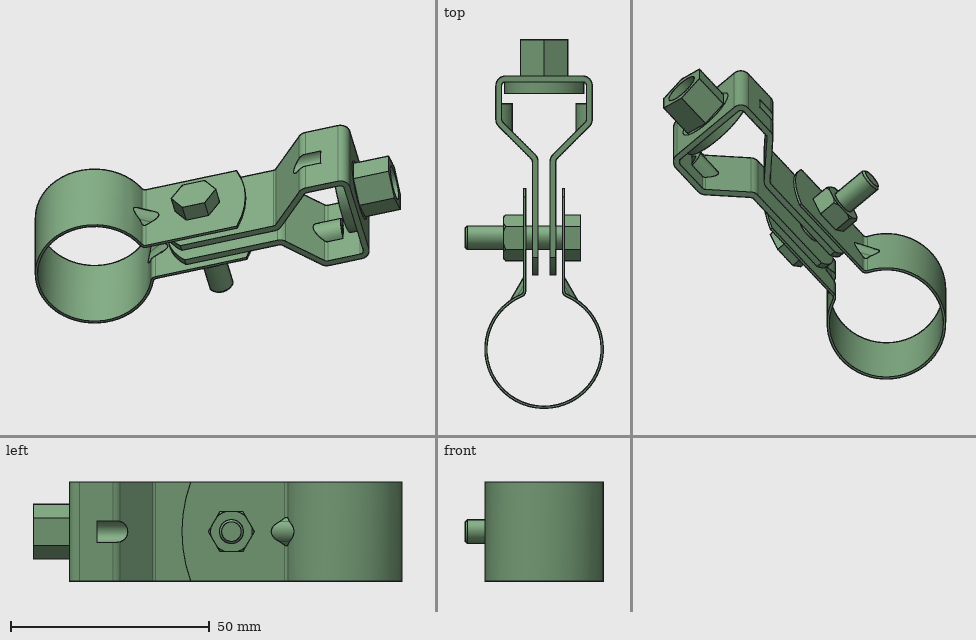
import cadquery as cq
import math

STRAP_WIDTH = 25.0
HALF_WIDTH = STRAP_WIDTH / 2
CUT_REACH = 55.6

BOLT_Y = 28.0
SHANK_DIAMETER = 6.0
SHANK_TIP_DIAMETER = 4.9
SHANK_TIP_X = -19.8
HEX_ACROSS_FLATS = 10.0
HEAD_THICKNESS = 4.0
NUT_THICKNESS = 5.0
NUT_CHAMFER_DIAMETER = 10.5

LOOP_RADIUS = 14.9
BAND_THICKNESS = 0.6
EAR_OUTER_X = 5.2
EAR_TIP_Y = 40.4
EAR_SIDE_Y = 38.2
EAR_BEND_RADIUS = 1.0

RIDGE_RADIUS = 3.5
RIDGE_CREST_Y = 18.0
RIDGE_TILT = 30.0
RIDGE_ARC_ANGLE = 45.0
RIDGE_FLANK_ANGLE = 55.0
RIDGE_DEPTH = 3.7
RIDGE_LENGTH = 8.3
RIDGE_LEAD_IN = 0.9

SHEET = 1.5
BOX_HALF_WIDTH = 12.1
BOX_TOP_Y = 68.7
BOX_INSIDE_Y = BOX_TOP_Y - SHEET
SHOULDER_Y = 56.7
LEG_OUTER_X = 3.0
WAIST_Y = SHOULDER_Y - (BOX_HALF_WIDTH - LEG_OUTER_X)
LEG_TIP_Y = 18.5
LEG_SIDE_Y = 23.0
BEND_INNER_RADIUS = 1.0
BEND_OUTER_RADIUS = BEND_INNER_RADIUS + SHEET

STOP_INNER_RADIUS = 2.7
STOP_OUTER_RADIUS = STOP_INNER_RADIUS + SHEET
STOP_TOP_Y = 61.7
STOP_BOTTOM_Y = 51.0

FLANGE_DIAMETER = 20.0
FLANGE_THICKNESS = 3.0
FLANGE_Y = BOX_INSIDE_Y - FLANGE_THICKNESS
NECK_DIAMETER = 15.0
BUSH_BORE = 8.5
BUSH_HEX_FLATS = 12.0
BUSH_HEX_LENGTH = 9.1


def x_cylinder(diameter, x_start, x_end):
    """Cylinder on the bolt axis."""
    plane = cq.Workplane("YZ", origin=(x_start, BOLT_Y, 0))
    return plane.circle(diameter / 2).extrude(x_end - x_start)


def y_cylinder(diameter, y_start, y_end):
    """Cylinder along Y on the centre line of the part."""
    plane = cq.Workplane("XZ", origin=(0, y_start, 0))
    return plane.circle(diameter / 2).extrude(y_start - y_end)


def across_corners(flats):
    return flats / math.cos(math.radians(30))


def bolt_hex(x_start, x_end):
    """Hexagon on the bolt axis with two corners along Y."""
    plane = cq.Workplane("YZ", origin=(x_start, BOLT_Y, 0))
    return plane.polygon(6, across_corners(HEX_ACROSS_FLATS)).extrude(x_end - x_start)


def fillet_upright_edge(body, x, y, radius):
    """Round the edge along Z at (x, y) and its mirror image at (-x, y)."""
    for side in (1, -1):
        nearest = cq.selectors.NearestToPointSelector((side * x, y, 0))
        body = body.edges("|Z").edges(nearest).fillet(radius)
    return body


def rounded_end_region(tip_y, side_y, far_y):
    """Block with one end at far_y and the other end arched from the sides to tip_y."""
    return (
        cq.Workplane("YZ")
        .moveTo(far_y, -HALF_WIDTH)
        .lineTo(side_y, -HALF_WIDTH)
        .threePointArc((tip_y, 0), (side_y, HALF_WIDTH))
        .lineTo(far_y, HALF_WIDTH)
        .close()
        .extrude(CUT_REACH, both=True)
    )


def ridge(radius, crest_shift):
    """Round-crested ridge with flat flanks along the -X ear bend, set crest_shift inside the outer crest."""
    tilt = math.radians(RIDGE_TILT)
    along = cq.Vector(-math.sin(tilt), -math.cos(tilt), 0)
    outward = cq.Vector(-math.cos(tilt), math.sin(tilt), 0)
    start = cq.Vector(-EAR_OUTER_X, RIDGE_CREST_Y, 0) - outward * crest_shift - along * RIDGE_LEAD_IN
    plane = cq.Plane(origin=start.toTuple(), xDir=outward.toTuple(), normal=along.toTuple())
    arc_angle = math.radians(RIDGE_ARC_ANGLE)
    arc_half_width = radius * math.sin(arc_angle)
    arc_depth = radius * (1 - math.cos(arc_angle))
    flank_spread = (RIDGE_DEPTH - arc_depth) * math.tan(math.radians(RIDGE_FLANK_ANGLE))
    base_half_width = arc_half_width + flank_spread
    return (
        cq.Workplane(plane)
        .moveTo(-RIDGE_DEPTH, -base_half_width)
        .lineTo(-arc_depth, -arc_half_width)
        .threePointArc((0, 0), (-arc_depth, arc_half_width))
        .lineTo(-RIDGE_DEPTH, base_half_width)
        .close()
        .extrude(RIDGE_LENGTH)
    )


def clamp_envelope(inset):
    """Filled clamp shape, set inside the outer surface by inset."""
    radius = LOOP_RADIUS - inset
    ear_x = EAR_OUTER_X - inset
    bend_radius = EAR_BEND_RADIUS + inset
    loop = cq.Workplane("XY").circle(radius).extrude(HALF_WIDTH, both=True)
    ears = cq.Workplane("XY").box(2 * ear_x, CUT_REACH, STRAP_WIDTH, centered=(True, False, True))
    body = fillet_upright_edge(loop.union(ears), ear_x, math.sqrt(radius**2 - ear_x**2), bend_radius)
    one_ridge = ridge(RIDGE_RADIUS - inset, inset)
    return body.union(one_ridge).union(one_ridge.mirror("YZ"))


def make_clamp():
    band = clamp_envelope(0).cut(clamp_envelope(BAND_THICKNESS))
    band = band.intersect(rounded_end_region(EAR_TIP_Y, EAR_SIDE_Y, -CUT_REACH))
    return band.cut(x_cylinder(SHANK_DIAMETER, -CUT_REACH, CUT_REACH))


def bracket_envelope(inset, box_bend_radius, waist_bend_radius):
    """Filled bracket shape, set inside the outer surface by inset."""
    corner_shift = inset * math.tan(math.radians(45 / 2))
    box_x = BOX_HALF_WIDTH - inset
    leg_x = LEG_OUTER_X - inset
    top_y = BOX_TOP_Y - inset
    shoulder_y = SHOULDER_Y + corner_shift
    waist_y = WAIST_Y + corner_shift
    right_side = [(leg_x, 0), (leg_x, waist_y), (box_x, shoulder_y), (box_x, top_y)]
    left_side = [(-x, y) for x, y in reversed(right_side)]
    body = cq.Workplane("XY").polyline(right_side + left_side).close().extrude(HALF_WIDTH, both=True)
    body = fillet_upright_edge(body, box_x, top_y, box_bend_radius)
    body = fillet_upright_edge(body, box_x, shoulder_y, box_bend_radius)
    return fillet_upright_edge(body, leg_x, waist_y, waist_bend_radius)


def stop_cylinders(radius):
    """Cylinders along Y, centred on the outer faces of both box walls."""
    return (
        cq.Workplane("XZ", origin=(0, STOP_TOP_Y, 0))
        .pushPoints([(-BOX_HALF_WIDTH, 0), (BOX_HALF_WIDTH, 0)])
        .circle(radius)
        .extrude(STOP_TOP_Y - STOP_BOTTOM_Y)
    )


def make_bracket():
    outside = bracket_envelope(0, BEND_OUTER_RADIUS, BEND_INNER_RADIUS)
    inside = bracket_envelope(SHEET, BEND_INNER_RADIUS, BEND_OUTER_RADIUS)
    stops = stop_cylinders(STOP_OUTER_RADIUS).intersect(outside)
    strap = outside.cut(inside).union(stops).cut(stop_cylinders(STOP_INNER_RADIUS))
    strap = strap.intersect(rounded_end_region(LEG_TIP_Y, LEG_SIDE_Y, BOX_TOP_Y))
    strap = strap.cut(x_cylinder(SHANK_DIAMETER, -CUT_REACH, CUT_REACH))
    strap = strap.cut(y_cylinder(NECK_DIAMETER, BOX_INSIDE_Y, BOX_TOP_Y))
    return strap.cut(y_cylinder(FLANGE_DIAMETER, FLANGE_Y, BOX_INSIDE_Y))


def make_bush():
    end_y = BOX_TOP_Y + BUSH_HEX_LENGTH
    flange = y_cylinder(FLANGE_DIAMETER, FLANGE_Y, BOX_INSIDE_Y)
    neck = y_cylinder(NECK_DIAMETER, BOX_INSIDE_Y, BOX_TOP_Y)
    hexagon = (
        cq.Workplane("XZ", origin=(0, BOX_TOP_Y, 0))
        .transformed(rotate=(0, 0, 90))
        .polygon(6, across_corners(BUSH_HEX_FLATS))
        .extrude(-BUSH_HEX_LENGTH)
    )
    return flange.union(neck).union(hexagon).cut(y_cylinder(BUSH_BORE, FLANGE_Y, end_y))


def make_bolt():
    tip_chamfer = (SHANK_DIAMETER - SHANK_TIP_DIAMETER) / 2
    shank = x_cylinder(SHANK_DIAMETER, SHANK_TIP_X, EAR_OUTER_X).faces("<X").chamfer(tip_chamfer)
    return shank.union(bolt_hex(EAR_OUTER_X, EAR_OUTER_X + HEAD_THICKNESS))


def make_nut():
    outer_x = -EAR_OUTER_X - NUT_THICKNESS
    corner_diameter = across_corners(HEX_ACROSS_FLATS)
    corner_chamfer = (corner_diameter - NUT_CHAMFER_DIAMETER) / 2
    chamfered_bar = x_cylinder(corner_diameter, outer_x, -EAR_OUTER_X).faces("<X").chamfer(corner_chamfer)
    nut = bolt_hex(outer_x, -EAR_OUTER_X).intersect(chamfered_bar)
    return nut.cut(x_cylinder(SHANK_DIAMETER, outer_x, -EAR_OUTER_X))


clamp = make_clamp()
bracket = make_bracket()
bush = make_bush()
bolt = make_bolt()
nut = make_nut()

bodies = [clamp, bracket, bush, bolt, nut]
result = cq.Compound.makeCompound([body.solids().val() for body in bodies])